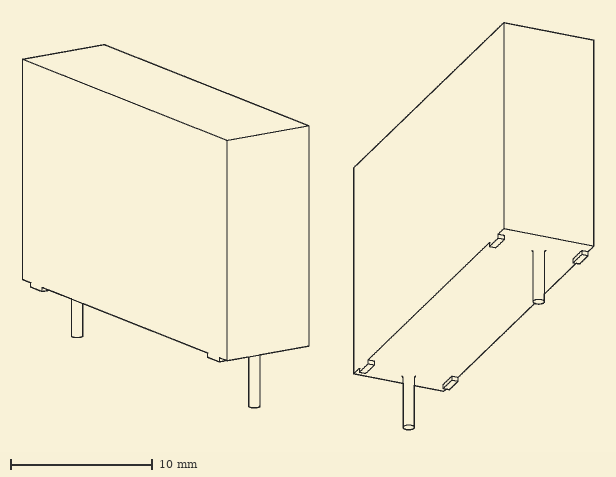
import cadquery as cq

body_length = 26.0
body_width = 7.0
total_height = 20.5
lead_drop = 4.3
body_height = total_height - lead_drop

lead_diameter = 0.8
lead_spacing = 22.5
flare_radius = 0.5

foot_length = 1.5
foot_width = 0.5
foot_height = 0.3


def make_body():
    return cq.Workplane("XY").box(
        body_length, body_width, body_height, centered=(True, True, False)
    )


def make_lead(x):
    """Round lead whose top end widens in a concave quarter-round."""
    radius = lead_diameter / 2
    profile = (
        cq.Workplane("XZ")
        .lineTo(radius + flare_radius, 0)
        .radiusArc((radius, -flare_radius), -flare_radius)
        .lineTo(radius, -lead_drop)
        .lineTo(0, -lead_drop)
        .close()
    )
    return profile.revolve(360, (0, 0, 0), (0, 1, 0)).translate((x, 0, 0))


def make_foot(x, side):
    """Foot flush with the long face on the given side (-1 or +1)."""
    y = side * (body_width - foot_width) / 2
    foot = cq.Workplane("XY").box(foot_length, foot_width, foot_height)
    return foot.translate((x, y, -foot_height / 2))


result = make_body()
for lead_x in (-lead_spacing / 2, lead_spacing / 2):
    result = result.union(make_lead(lead_x))
    for side in (-1, 1):
        result = result.union(make_foot(lead_x, side))